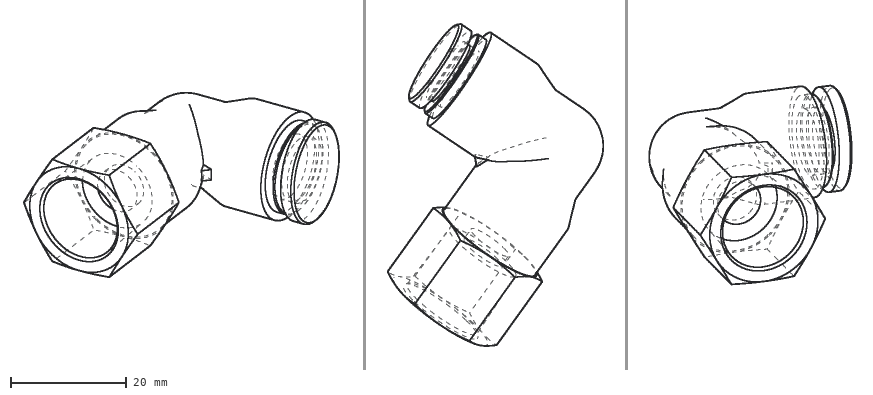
import cadquery as cq
import math


THIN_RADIUS = 7.8
ARM_RADIUS = 9.75
CONE_START = 6.0
CONE_END = 11.0
ARM_LENGTH = 21.0
BLEND_RADIUS = 1.0
WEB_THICKNESS = 2.0

HEX_ACROSS_FLATS = 20.0
HEX_LENGTH = 15.0
HEX_CHAMFER_ANGLE = 20
BORE_MOUTH_DIAMETER = 15.9
BORE_DIAMETER = 14.9
BORE_DEPTH = 12.8
THREAD_TAPER = 1 / 16
STEM_DIAMETER = 8.0

RING_DIAMETER = 16.5
RING_LENGTH = 1.85
RING_CHAMFER = 0.25

NECK_DIAMETER = 11.7
FLANGE_WIDTH = 16.0
FLANGE_HEIGHT = 18.75
FLANGE_LENGTH = 2.45
FLANGE_CHAMFER = 0.4
BUTTON_GAP = 1.15

HEX_END = ARM_LENGTH + HEX_LENGTH
STEM_LENGTH = HEX_LENGTH - BORE_DEPTH
HEX_ACROSS_CORNERS = HEX_ACROSS_FLATS / math.cos(math.radians(30))
BORE_FLOOR_DIAMETER = BORE_DIAMETER - THREAD_TAPER * BORE_DEPTH
RING_END = ARM_LENGTH + RING_LENGTH


def tube_section(distance):
    """Workplane across the tube arm, facing +X; local x is Y and local y is Z."""
    return cq.Workplane("YZ", origin=(distance, 0, 0))


def thread_section(distance):
    """Workplane across the threaded arm, facing -Y; local x is X and local y is Z."""
    return cq.Workplane("XZ", origin=(0, -distance, 0))


def revolve_thread_arm(points):
    """Revolve a closed outline of (radius, distance) points about the threaded arm's axis."""
    outline = cq.Workplane("XY").polyline([(radius, -distance) for radius, distance in points]).close()
    return outline.revolve(360, (0, 0), (0, 1))


def make_arm():
    """One stepped elbow arm along -Y, with small blends at both ends of its cone."""
    arm = revolve_thread_arm([
        (0, 0),
        (THIN_RADIUS, 0),
        (THIN_RADIUS, CONE_START),
        (ARM_RADIUS, CONE_END),
        (ARM_RADIUS, ARM_LENGTH),
        (0, ARM_LENGTH),
    ])
    cone_ends = arm.edges("%CIRCLE").filter(lambda edge: 0 < -edge.Center().y < ARM_LENGTH)
    return cone_ends.fillet(BLEND_RADIUS)


def make_corner():
    """Quarter sphere that closes the outside of the elbow between the two arms."""
    half_disc = (
        cq.Workplane("XZ")
        .moveTo(0, -THIN_RADIUS)
        .threePointArc((-THIN_RADIUS, 0), (0, THIN_RADIUS))
        .close()
    )
    return half_disc.revolve(90, (0, 0), (0, -1))


def make_web():
    """Flat triangular web in the inside corner, between the large ends of the two cones."""
    outline = [
        (0, 0),
        (CONE_END, -ARM_RADIUS),
        (ARM_RADIUS, -CONE_END),
    ]
    return cq.Workplane("XY").polyline(outline).close().extrude(WEB_THICKNESS / 2, both=True)


def make_elbow():
    thread_arm = make_arm()
    tube_arm = thread_arm.rotate((0, 0, 0), (0, 0, 1), 90)
    stem = thread_section(ARM_LENGTH).circle(STEM_DIAMETER / 2).extrude(STEM_LENGTH)
    return thread_arm.union(tube_arm).union(make_corner()).union(make_web()).union(stem)


def make_hex_envelope():
    """Solid of revolution that chamfers the hexagon's corners at both ends."""
    flat_radius = HEX_ACROSS_FLATS / 2
    corner_radius = HEX_ACROSS_CORNERS / 2
    drop = (corner_radius - flat_radius) * math.tan(math.radians(HEX_CHAMFER_ANGLE))
    return revolve_thread_arm([
        (0, ARM_LENGTH),
        (flat_radius, ARM_LENGTH),
        (corner_radius, ARM_LENGTH + drop),
        (corner_radius, HEX_END - drop),
        (flat_radius, HEX_END),
        (0, HEX_END),
    ])


def make_bore():
    """Tapered thread bore with a 45 degree chamfer at its mouth."""
    mouth_chamfer = (BORE_MOUTH_DIAMETER - BORE_DIAMETER) / 2
    return revolve_thread_arm([
        (0, HEX_END),
        (BORE_MOUTH_DIAMETER / 2, HEX_END),
        (BORE_DIAMETER / 2, HEX_END - mouth_chamfer),
        (BORE_FLOOR_DIAMETER / 2, HEX_END - BORE_DEPTH),
        (0, HEX_END - BORE_DEPTH),
    ])


def make_nut():
    hexagon = thread_section(ARM_LENGTH).polygon(6, HEX_ACROSS_CORNERS).extrude(HEX_LENGTH)
    stem_hole = thread_section(ARM_LENGTH).circle(STEM_DIAMETER / 2).extrude(STEM_LENGTH)
    return hexagon.intersect(make_hex_envelope()).cut(make_bore()).cut(stem_hole)


def make_guide_ring():
    disc = tube_section(ARM_LENGTH).circle(RING_DIAMETER / 2).extrude(RING_LENGTH)
    disc = disc.faces(">X").edges().chamfer(RING_CHAMFER)
    neck_hole = tube_section(ARM_LENGTH).circle(NECK_DIAMETER / 2).extrude(RING_LENGTH)
    return disc.cut(neck_hole)


def make_release_button():
    flange = (
        tube_section(RING_END + BUTTON_GAP)
        .ellipse(FLANGE_WIDTH / 2, FLANGE_HEIGHT / 2)
        .extrude(FLANGE_LENGTH)
        .faces(">X").edges().chamfer(FLANGE_CHAMFER)
    )
    neck = tube_section(ARM_LENGTH).circle(NECK_DIAMETER / 2).extrude(RING_LENGTH + BUTTON_GAP)
    return flange.union(neck)


elbow = make_elbow()
nut = make_nut()
guide_ring = make_guide_ring()
release_button = make_release_button()

result = cq.Compound.makeCompound([
    elbow.val(),
    nut.val(),
    guide_ring.val(),
    release_button.val(),
])